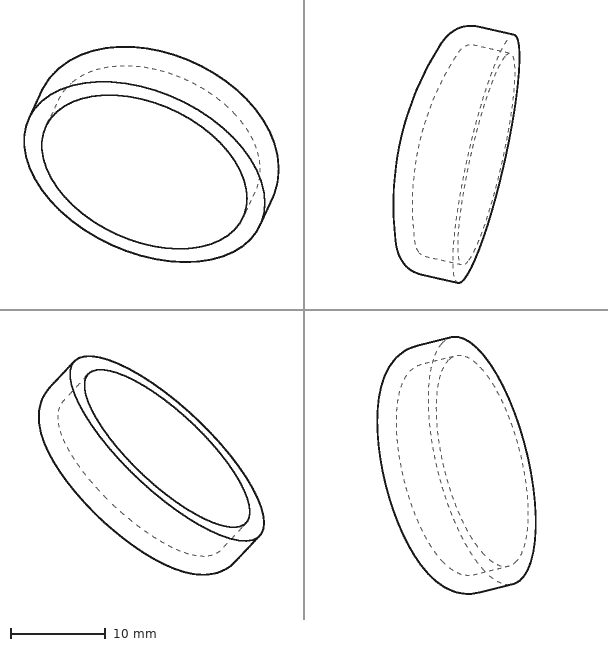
import cadquery as cq
import math

outer_radius = 13.45
total_depth = 9.0
skirt_depth = 4.0
corner_radius = 3.0
wall = 2.0

corner_center_x = outer_radius - corner_radius

crown_height = total_depth - skirt_depth
dome_radius = (corner_center_x**2 + crown_height**2 - corner_radius**2) / (
    2 * (crown_height - corner_radius)
)
dome_center_y = total_depth - dome_radius

tangent_angle = math.asin(corner_center_x / (dome_radius - corner_radius))


def point_on_arc(center_x, center_y, radius, angle):
    """Point at an angle measured from +Y toward +X."""
    return (center_x + radius * math.sin(angle), center_y + radius * math.cos(angle))


def domed_solid(inset):
    """Solid of revolution about Y, inset evenly from the outer skin."""
    skirt_radius = outer_radius - inset
    corner = corner_radius - inset
    dome = dome_radius - inset
    corner_mid_angle = (tangent_angle + math.pi / 2) / 2
    corner_mid = point_on_arc(corner_center_x, skirt_depth, corner, corner_mid_angle)
    dome_edge = point_on_arc(corner_center_x, skirt_depth, corner, tangent_angle)
    dome_mid = point_on_arc(0, dome_center_y, dome, tangent_angle / 2)
    return (
        cq.Workplane("XY")
        .lineTo(skirt_radius, 0)
        .lineTo(skirt_radius, skirt_depth)
        .threePointArc(corner_mid, dome_edge)
        .threePointArc(dome_mid, (0, total_depth - inset))
        .close()
        .revolve(360, (0, 0, 0), (0, 1, 0))
    )


result = domed_solid(0).cut(domed_solid(wall))